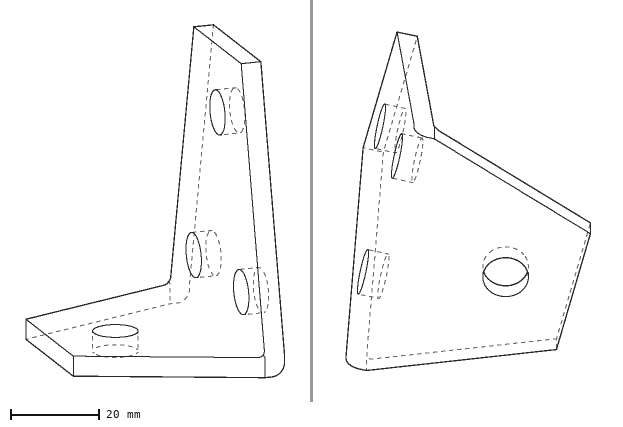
import cadquery as cq


width = 63.5
depth = 45.24
height = 69.85
thickness = 4.7625
inner_bend_radius = 1.5875
outer_bend_radius = 3.175
hole_diameter = 10.32
quarter_width = width / 4

tip_width = width / 2
hole_edge_distance = quarter_width


def tapered_outline(plane, length):
    """Full width across the bend, then narrowing to the tip width at the given length."""
    half_width = width / 2
    half_tip = tip_width / 2
    return cq.Workplane(plane).polyline([
        (-half_width, 0),
        (half_width, 0),
        (half_width, thickness),
        (half_tip, length),
        (-half_tip, length),
        (-half_width, thickness),
    ]).close()


def bent_plate():
    """L-shaped section, rounded inside and outside the bend, swept across the width."""
    plate = (
        cq.Workplane("YZ")
        .polyline([
            (0, 0),
            (0, height),
            (-thickness, height),
            (-thickness, thickness),
            (-depth, thickness),
            (-depth, 0),
        ])
        .close()
        .extrude(width / 2, both=True)
    )
    inner_corner = cq.NearestToPointSelector((0, -thickness, thickness))
    plate = plate.edges("|X").edges(inner_corner).fillet(inner_bend_radius)
    outer_corner = cq.NearestToPointSelector((0, 0, 0))
    return plate.edges("|X").edges(outer_corner).fillet(outer_bend_radius)


def taper_flanges(plate):
    """Trim the upright to its outline along Z and the foot to its outline along -Y."""
    upright_outline = tapered_outline("XZ", height).extrude(depth)
    foot_plane = cq.Plane(origin=(0, 0, 0), xDir=(1, 0, 0), normal=(0, 0, -1))
    foot_outline = tapered_outline(foot_plane, depth).extrude(-height)
    return plate.intersect(upright_outline).intersect(foot_outline)


def upright_holes():
    """Two holes side by side above the bend and one near the tip."""
    centers = [
        (-quarter_width, hole_edge_distance),
        (quarter_width, hole_edge_distance),
        (0, height - hole_edge_distance),
    ]
    return cq.Workplane("XZ").pushPoints(centers).circle(hole_diameter / 2).extrude(thickness)


def foot_hole():
    """One hole near the tip of the foot."""
    center_y = -(depth - hole_edge_distance)
    return cq.Workplane("XY").center(0, center_y).circle(hole_diameter / 2).extrude(thickness)


result = taper_flanges(bent_plate()).cut(upright_holes()).cut(foot_hole())